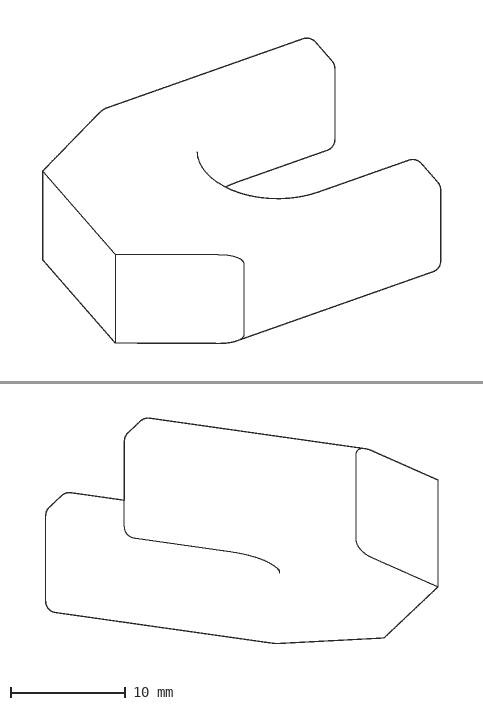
import cadquery as cq

width = 24.0
length = 29.78
thickness = 10.0

prong_width = 5.0
slot_width = width - 2 * prong_width
slot_radius = slot_width / 2
slot_straight = 10.0

tail_width = 13.05
straight_side = 20.0

edge_radius = 1.0

back = length / 2
front = -length / 2
half_width = width / 2
half_tail = tail_width / 2
slot_center_y = back - slot_straight
taper_start_y = back - straight_side


def fork_block():
    """Rectangular block with a round-bottomed slot, rounded except at its -Y end."""
    block = (
        cq.Workplane("XY")
        .moveTo(-half_width, front)
        .lineTo(half_width, front)
        .lineTo(half_width, back)
        .lineTo(slot_radius, back)
        .lineTo(slot_radius, slot_center_y)
        .threePointArc((0, slot_center_y - slot_radius), (-slot_radius, slot_center_y))
        .lineTo(-slot_radius, back)
        .lineTo(-half_width, back)
        .close()
        .extrude(thickness / 2, both=True)
    )
    prong_corners = block.faces(">Y").edges("|Z")
    rim_edges = block.faces("|Z").edges().edges("not <Y")
    return block.newObject(prong_corners.vals() + rim_edges.vals()).fillet(edge_radius)


def taper_cutter(side):
    """Wedge that trims one side of the -Y end; side is +1 or -1."""
    return (
        cq.Workplane("XY")
        .polyline([
            (side * half_width, taper_start_y),
            (side * half_tail, front),
            (side * half_width, front),
        ])
        .close()
        .extrude(thickness / 2, both=True)
    )


result = fork_block()
for side in (-1, 1):
    result = result.cut(taper_cutter(side))